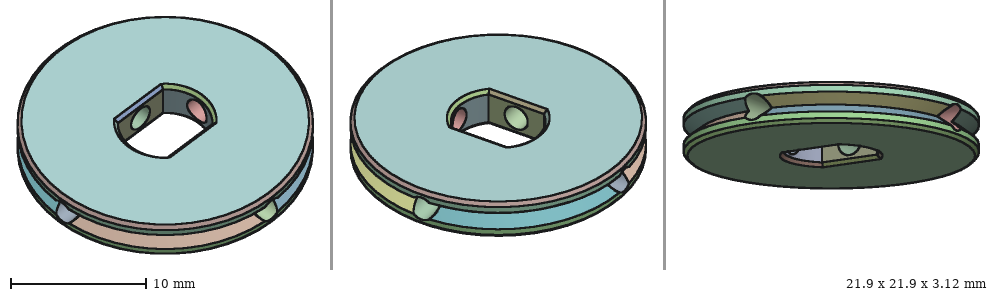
import cadquery as cq

disc_diameter = 21.88
disc_thickness = 3.12
edge_chamfer = 0.3

groove_width = 1.5
groove_depth = 1.0

bore_diameter = 7.0
bore_across_flats = 5.1
bore_chamfer = 0.3

cross_hole_diameter = 2.0

disc_radius = disc_diameter / 2
half_thickness = disc_thickness / 2


def grooved_disc():
    """Disc centred on the origin, with chamfered edges and a V-groove in its rim."""
    profile = (
        cq.Workplane("XZ")
        .moveTo(0, -half_thickness)
        .lineTo(disc_radius - edge_chamfer, -half_thickness)
        .lineTo(disc_radius, -half_thickness + edge_chamfer)
        .lineTo(disc_radius, -groove_width / 2)
        .lineTo(disc_radius - groove_depth, 0)
        .lineTo(disc_radius, groove_width / 2)
        .lineTo(disc_radius, half_thickness - edge_chamfer)
        .lineTo(disc_radius - edge_chamfer, half_thickness)
        .lineTo(0, half_thickness)
        .close()
    )
    return profile.revolve(360, (0, 0, 0), (0, 1, 0))


def double_flat_bore():
    """Round bore with two flats facing along X, cut right through the disc."""
    round_bore = cq.Workplane("XY").circle(bore_diameter / 2).extrude(half_thickness, both=True)
    flats = cq.Workplane("XY").box(bore_across_flats, bore_diameter, disc_thickness)
    return round_bore.intersect(flats)


def cross_hole(axis):
    """Round cutter along the given axis, running past both sides of the disc."""
    plane = cq.Plane(origin=(0, 0, 0), xDir=(0, 0, 1), normal=axis)
    return cq.Workplane(plane).circle(cross_hole_diameter / 2).extrude(disc_diameter, both=True)


result = grooved_disc().cut(double_flat_bore())

bore_envelope = cq.selectors.BoxSelector(
    (-bore_diameter, -bore_diameter, -disc_thickness),
    (bore_diameter, bore_diameter, disc_thickness),
    boundingbox=True,
)
for face in (">Z", "<Z"):
    result = result.faces(face).edges(bore_envelope).chamfer(bore_chamfer)

x_axis = (1, 0, 0)
y_axis = (0, 1, 0)
for axis in (x_axis, y_axis):
    result = result.cut(cross_hole(axis))